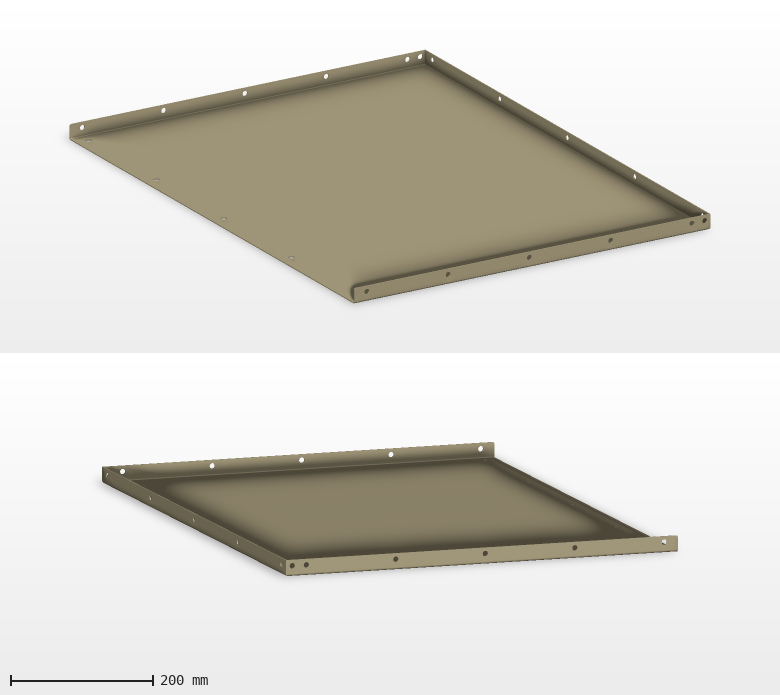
import cadquery as cq

length = 775.0
depth = 583.5
height = 23.0
sheet = 1.5
bend_radius = 3.0
inner_radius = bend_radius - sheet
wall_front_radius = 2.0

wall_hole_diameter = 8.0
wall_hole_height = 15.0
floor_hole_diameter = 9.0
floor_hole_inset = 19.0
long_pitch = 184.0
side_pitch = 133.0
side_first_inset = 20.0
corner_hole_inset = 9.0
holes_per_row = 5

front_y = -depth / 2
back_y = depth / 2
long_positions = [(i - (holes_per_row - 1) / 2) * long_pitch for i in range(holes_per_row)]
side_positions = [front_y + side_first_inset + i * side_pitch for i in range(holes_per_row)]
side_positions.append(back_y - corner_hole_inset)


def folded_tray():
    """Floor with left, right and back walls joined by rounded folds."""
    outer = (
        cq.Workplane("XY")
        .box(length, depth, height, centered=(True, True, False))
        .faces("<Z").edges("not <Y").fillet(bend_radius)
    )
    inner = (
        cq.Workplane("XY", origin=(0, front_y, sheet))
        .box(length - 2 * sheet, depth - sheet, height, centered=(True, False, False))
        .faces("<Z").edges("not <Y").fillet(inner_radius)
    )
    return outer.cut(inner).edges("|X and <Y and >Z").fillet(wall_front_radius)


def floor_holes():
    centers = [(x, front_y + floor_hole_inset) for x in long_positions]
    return cq.Workplane("XY").pushPoints(centers).circle(floor_hole_diameter / 2).extrude(height)


def back_holes():
    centers = [(x, wall_hole_height) for x in long_positions]
    return (
        cq.Workplane("XZ", origin=(0, back_y, 0))
        .pushPoints(centers).circle(wall_hole_diameter / 2).extrude(2 * bend_radius)
    )


def side_holes():
    centers = [(y, wall_hole_height) for y in side_positions]
    return (
        cq.Workplane("YZ")
        .pushPoints(centers).circle(wall_hole_diameter / 2).extrude(length / 2, both=True)
    )


result = folded_tray().cut(floor_holes()).cut(back_holes()).cut(side_holes())